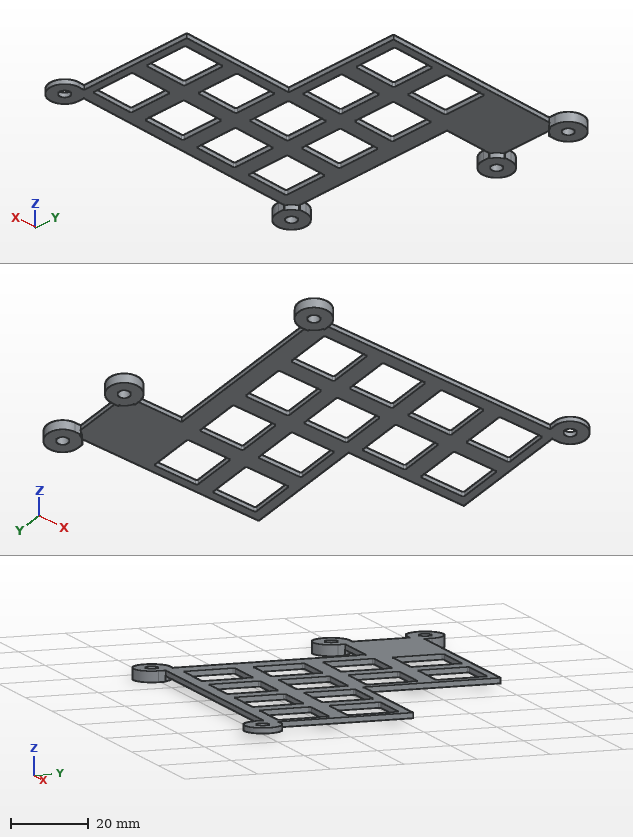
import cadquery as cq

KEY_PITCH = 19.05
WINDOW_SIZE = 14.0
WINDOW_CORNER_RADIUS = 0.5
COLUMNS_PER_ROW = [4, 4, 2, 2]

LUG_HEIGHT = 3.0
PLATE_THICKNESS = 1.5

HALF_WINDOW = WINDOW_SIZE / 2
LEFT_MARGIN = 5.95
STEP_MARGIN = 3.05
BOTTOM_MARGIN = 3.8
EDGE_MARGIN = (KEY_PITCH - WINDOW_SIZE) / 2
WING_LENGTH = 18.325
WING_HEIGHT = 21.7

last_column_x = (COLUMNS_PER_ROW[0] - 1) * KEY_PITCH
last_row_y = (len(COLUMNS_PER_ROW) - 1) * KEY_PITCH
plate_left = -HALF_WINDOW - LEFT_MARGIN
plate_right = last_column_x + HALF_WINDOW + EDGE_MARGIN
plate_bottom = -HALF_WINDOW - BOTTOM_MARGIN
plate_top = last_row_y + HALF_WINDOW + EDGE_MARGIN
step_x = KEY_PITCH + HALF_WINDOW + STEP_MARGIN
step_y = KEY_PITCH + HALF_WINDOW + STEP_MARGIN
wing_left = plate_left - WING_LENGTH
wing_bottom = plate_top - WING_HEIGHT

LUG_DIAMETER = 10.0
SCREW_HOLE_DIAMETER = 3.4
LUG_OFFSET = 2.0
LUG_RADIUS = LUG_DIAMETER / 2

LUGS = [
    (wing_left, plate_top, 1, -1, LUG_HEIGHT),
    (wing_left, wing_bottom, 1, 1, LUG_HEIGHT),
    (plate_left, plate_bottom, 1, 1, LUG_HEIGHT),
    (plate_right, plate_bottom, -1, 1, PLATE_THICKNESS),
]


def make_plate():
    """Stepped plate with a plain wing at its upper left."""
    outline = [
        (plate_left, plate_bottom),
        (plate_right, plate_bottom),
        (plate_right, step_y),
        (step_x, step_y),
        (step_x, plate_top),
        (wing_left, plate_top),
        (wing_left, wing_bottom),
        (plate_left, wing_bottom),
    ]
    plate = cq.Workplane("XY").polyline(outline).close().extrude(PLATE_THICKNESS)
    return plate.translate((0, 0, LUG_HEIGHT - PLATE_THICKNESS))


def make_windows():
    """Cutter for all key windows, with rounded corners."""
    centres = []
    for row, column_count in enumerate(COLUMNS_PER_ROW):
        for column in range(column_count):
            centres.append((column * KEY_PITCH, row * KEY_PITCH))
    windows = cq.Workplane("XY").pushPoints(centres).rect(WINDOW_SIZE, WINDOW_SIZE).extrude(LUG_HEIGHT)
    return windows.edges("|Z").fillet(WINDOW_CORNER_RADIUS)


def make_lug(centre, inward_x, inward_y, height):
    """Round lug with straight tangent flanks running from its sides to the plate edges."""
    x, y = centre
    base = cq.Workplane("XY", origin=(x, y, LUG_HEIGHT - height))
    lug = base.circle(LUG_RADIUS).extrude(height)
    for length_x, length_y in [(LUG_RADIUS, LUG_OFFSET), (LUG_OFFSET, LUG_RADIUS)]:
        flank = base.center(inward_x * length_x / 2, inward_y * length_y / 2).rect(length_x, length_y)
        lug = lug.union(flank.extrude(height))
    return lug


def make_screw_holes(centres):
    """Cutter for the through holes in all lugs."""
    return cq.Workplane("XY").pushPoints(centres).circle(SCREW_HOLE_DIAMETER / 2).extrude(LUG_HEIGHT)


result = make_plate().cut(make_windows())
lug_centres = []
for corner_x, corner_y, inward_x, inward_y, height in LUGS:
    centre = (corner_x - inward_x * LUG_OFFSET, corner_y - inward_y * LUG_OFFSET)
    lug_centres.append(centre)
    result = result.union(make_lug(centre, inward_x, inward_y, height))
result = result.cut(make_screw_holes(lug_centres))